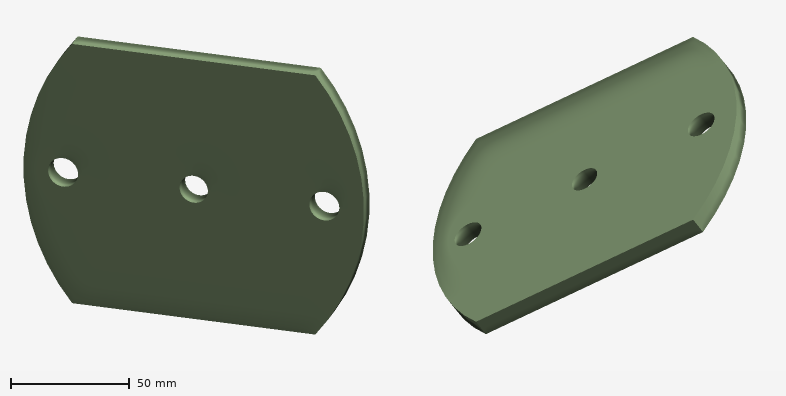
import cadquery as cq

length = 150.0
height = 120.0
thickness = 8.0
flat_edge_length = 107.1

centre_hole_diameter = 12.5
outer_hole_diameter = 13.2
outer_hole_spacing = 115.0


def plate_blank():
    """Plate with straight top and bottom edges and bowed left and right ends."""
    half_flat = flat_edge_length / 2
    half_height = height / 2
    half_length = length / 2
    return (
        cq.Workplane("XZ")
        .moveTo(-half_flat, -half_height)
        .lineTo(half_flat, -half_height)
        .threePointArc((half_length, 0), (half_flat, half_height))
        .lineTo(-half_flat, half_height)
        .threePointArc((-half_length, 0), (-half_flat, -half_height))
        .close()
        .extrude(-thickness)
    )


def through_holes(diameter, x_positions):
    """Cylinders as deep as the plate, for cutting."""
    return (
        cq.Workplane("XZ")
        .pushPoints([(x, 0) for x in x_positions])
        .circle(diameter / 2)
        .extrude(-thickness)
    )


centre_hole = through_holes(centre_hole_diameter, [0])
outer_holes = through_holes(outer_hole_diameter, [-outer_hole_spacing / 2, outer_hole_spacing / 2])
result = plate_blank().cut(centre_hole).cut(outer_holes)